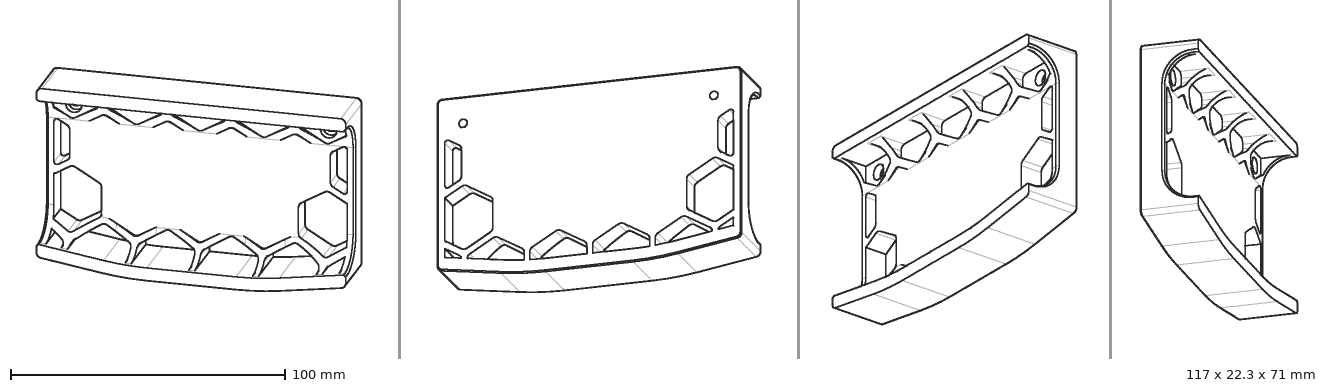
import cadquery as cq
import math

width = 117
depth = 22.3
height = 71.0
plate_thickness = 9.2
flange_thickness = 5.0
side_margin = 3.0
corner_radius = 2.0
scoop_radius = 11.0
scoop_edge_chamfer = 0.8
back_chamfer = 0.5

flat_half_width = 16.8
bend_radius = 114.7
flank_angle = 8.6

cell_pitch = 24.1
cell_width = 21.9
top_cell_width = 20.4
row_pitch = 21.3
honeycomb_shift = -0.2
lower_row_z = 24.3
sharp_corner_radius = 1.0

hole_diameter = 3.2
head_diameter = 6.0
head_depth = 3.0
hole_z = 60.7
hole_spacing = 96.4
hole_shift = 0.2

half_width = width / 2
scoop_depth = depth - plate_thickness
flange_underside = height - flange_thickness
flank = math.radians(flank_angle)


def outline_prism(half_span, top, inset, length):
    """Prism from the front face backwards, its underside raised by inset from the part's underside."""
    radius = bend_radius - inset

    def bend_point(angle):
        return (
            flat_half_width + radius * math.sin(angle),
            inset + radius * (1 - math.cos(angle)),
        )

    middle_x, middle_z = bend_point(flank / 2)
    end_x, end_z = bend_point(flank)
    side_z = end_z + (half_span - end_x) * math.tan(flank)
    return (
        cq.Workplane("XZ", origin=(0, -depth, 0))
        .moveTo(-flat_half_width, inset)
        .lineTo(flat_half_width, inset)
        .threePointArc((middle_x, middle_z), (end_x, end_z))
        .lineTo(half_span, side_z)
        .lineTo(half_span, top)
        .lineTo(-half_span, top)
        .lineTo(-half_span, side_z)
        .lineTo(-end_x, end_z)
        .threePointArc((-middle_x, middle_z), (-flat_half_width, inset))
        .close()
        .extrude(-length)
    )


def make_body():
    """Solid block with rounded ends and a broken back edge."""
    body = outline_prism(half_width, height, 0, depth)
    body = body.edges("|Y and (<X or >X)").fillet(corner_radius)
    return body.faces(">Y").edges().chamfer(back_chamfer)


def make_scoop():
    """Recess between the flanges, open at both ends, curving into the plate."""
    overrun = 5.8
    scoop = outline_prism(half_width + overrun, flange_underside, flange_thickness, scoop_depth)
    return scoop.faces(">Y").edges("not(<X or >X)").fillet(scoop_radius)


def chamfer_scoop_ends(body):
    """Break the edges where the scoop runs out through the two ends."""
    clearance = 1.2
    scoop_zone = cq.selectors.BoxSelector(
        (-width, -depth - clearance, flange_thickness + corner_radius + clearance),
        (width, -plate_thickness + clearance, height - corner_radius - clearance),
    )
    for side in ("<X", ">X"):
        edges = body.faces(side).edges(scoop_zone).edges("not(<Y)")
        body = edges.chamfer(scoop_edge_chamfer)
    return body


def make_cell(x, z, across_flats, length):
    """Rounded hexagonal prism, pointed up and down, kept inside the frame of the part."""
    corner_reach = across_flats / math.sqrt(3)
    corner_angles = [math.radians(30 + 60 * i) for i in range(6)]
    corners = [(x + corner_reach * math.cos(a), z + corner_reach * math.sin(a)) for a in corner_angles]
    cell = cq.Workplane("XZ", origin=(0, -depth, 0)).polyline(corners).close().extrude(-length)
    if z + corner_reach > flange_underside:
        flange_plane = cq.Workplane("XY", origin=(x, 0, flange_underside))
        flange_zone = flange_plane.rect(width, 3 * depth).extrude(height)
        cell = cell.cut(flange_zone)
    cell = cell.edges("|Y").fillet(corner_radius)
    window = outline_prism(half_width - side_margin, flange_underside, flange_thickness, depth)
    return cell.intersect(window)


def cut_cells(body):
    """Cut the four honeycomb rows: some stop on the plate, the others go through it."""
    aligned_row = [honeycomb_shift + i * cell_pitch for i in (-2, -1, 0, 1, 2)]
    shifted_row = [honeycomb_shift + i * cell_pitch for i in (-2.5, -1.5, -0.5, 0.5, 1.5, 2.5)]
    bottom_row_z = lower_row_z - row_pitch
    upper_row_z = lower_row_z + row_pitch
    top_row_z = upper_row_z + row_pitch

    for x in aligned_row:
        body = body.cut(make_cell(x, top_row_z, top_cell_width, scoop_depth))

    for x in shifted_row[1:-1]:
        body = body.cut(make_cell(x, upper_row_z, cell_width, scoop_depth))
    for x, outer_side in ((shifted_row[0], "<X"), (shifted_row[-1], ">X")):
        half_cell = make_cell(x, upper_row_z, cell_width, depth)
        half_cell = half_cell.faces(outer_side).edges("|Y").fillet(sharp_corner_radius)
        body = body.cut(half_cell)

    for x in aligned_row[1:-1]:
        body = body.cut(make_cell(x, lower_row_z, cell_width, scoop_depth))
    for x in (aligned_row[0], aligned_row[-1]):
        body = body.cut(make_cell(x, lower_row_z, cell_width, depth))

    for x in shifted_row:
        body = body.cut(make_cell(x, bottom_row_z, cell_width, depth))
    return body


def drill_screw_holes(body):
    """Counterbored holes in the plate, one in each outer cell of the top row."""
    centres = [(hole_shift + side * hole_spacing / 2, hole_z) for side in (-1, 1)]
    plate_front = cq.Workplane("XZ", origin=(0, -plate_thickness, 0)).pushPoints(centres)
    holes = plate_front.circle(hole_diameter / 2).extrude(-plate_thickness)
    heads = plate_front.circle(head_diameter / 2).extrude(-head_depth)
    return body.cut(holes).cut(heads)


result = make_body().cut(make_scoop())
result = chamfer_scoop_ends(result)
result = cut_cells(result)
result = drill_screw_holes(result)